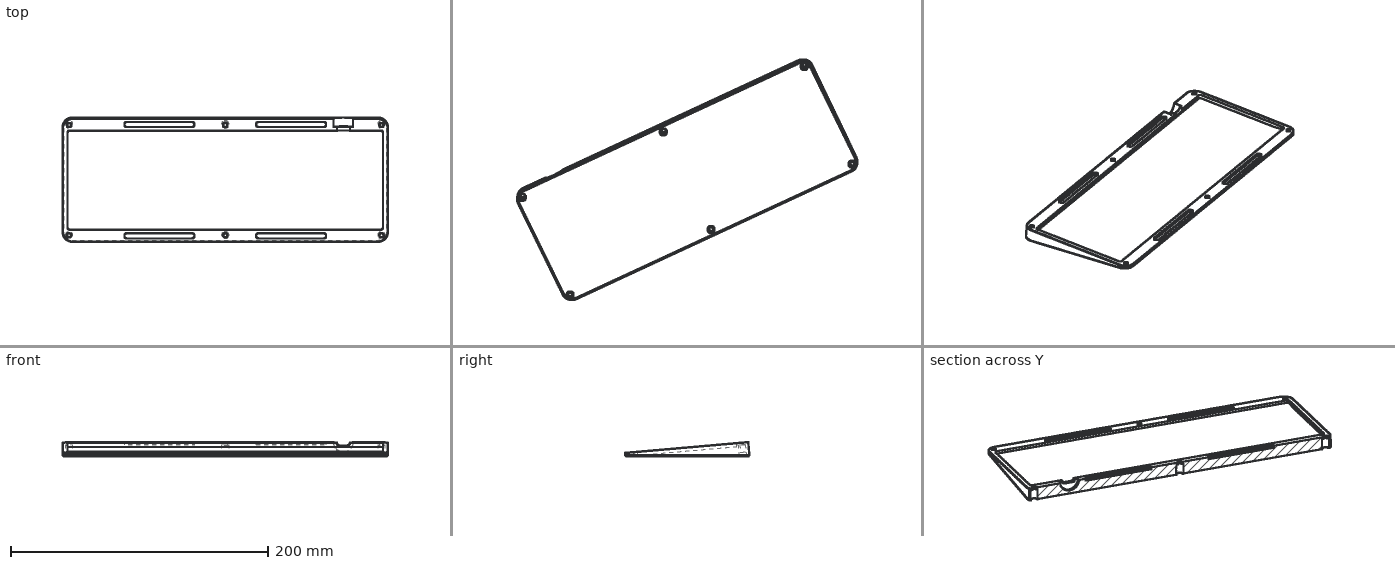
import cadquery as cq
import math

pocket_width = 244.89
pocket_length = 77.2
side_rim = 4.0
end_rim = 9.5
pocket_depth = 2.93
floor_thickness = 1.5
pocket_corner_radius = 1.5

overall_width = pocket_width + 2 * side_rim
top_length = pocket_length + 2 * end_rim
overall_height = 11.1
slope_angle = 5.0
corner_radius = 8.0
bottom_chamfer = 1.0
top_chamfer = 0.25

screw_inset = 5.1
screw_diameter = 3.25
screw_head_diameter = 5.5
screw_seat_thickness = 2.0

slot_length = 54.5
slot_width = 4.0
slot_depth = 1.7
slot_offset = 51.2
slot_inset = 4.7

notch_x = 91.75
plug_radius = 7.6
plug_length = 6.6
socket_width = 10.1
socket_radius = 1.9
socket_depth = 2.0

slope = math.radians(slope_angle)
mid_height = overall_height - (top_length / 2 - top_chamfer) * math.sin(slope)
cut_margin = 5.0
through_depth = 2 * overall_height

top_plane = cq.Plane(
    origin=(0, 0, mid_height),
    xDir=(1, 0, 0),
    normal=(0, -math.sin(slope), math.cos(slope)),
)
rear_plane = cq.Plane(
    origin=top_plane.toWorldCoords((0, top_length / 2, 0)),
    xDir=(1, 0, 0),
    normal=top_plane.yDir * -1,
)
square_to_top = cq.selectors.ParallelDirSelector(top_plane.zDir)
up_slope = cq.selectors.ParallelDirSelector(top_plane.yDir)
highest_face = cq.selectors.DirectionMinMaxSelector(top_plane.zDir)
lowest_face = cq.selectors.DirectionMinMaxSelector(top_plane.zDir, False)


def space_above(height):
    """Large block filling everything above a horizontal level."""
    size = 2 * overall_width
    return cq.Workplane("XY", origin=(0, 0, height)).box(size, size, size, centered=(True, True, False))


def make_body():
    """Rounded slab, square to the sloping top, cut off flat at the bottom."""
    slab = (
        cq.Workplane(top_plane)
        .rect(overall_width, top_length)
        .extrude(-through_depth)
        .edges(square_to_top)
        .fillet(corner_radius)
    )
    return slab.intersect(space_above(0)).faces("<Z").edges().chamfer(bottom_chamfer)


def make_pocket():
    """Pocket parallel to the top, with a level floor where the wedge gets thin."""
    sloped = (
        cq.Workplane(top_plane)
        .rect(pocket_width, pocket_length)
        .extrude(-pocket_depth)
        .edges(square_to_top)
        .fillet(pocket_corner_radius)
    )
    return sloped.intersect(space_above(floor_thickness))


def bevel_top_outline(body):
    """Fine bevel around the outline of the sloping top face."""
    return body.faces(highest_face).edges().chamfer(top_chamfer)


def make_screw_holes():
    """Through holes square to the top, widened from below for the screw heads."""
    screw_x = overall_width / 2 - screw_inset
    screw_y = top_length / 2 - screw_inset
    points = [(x, y) for x in (-screw_x, 0, screw_x) for y in (-screw_y, screw_y)]
    shanks = cq.Workplane(top_plane).pushPoints(points).circle(screw_diameter / 2).extrude(-through_depth)
    heads = (
        cq.Workplane(top_plane)
        .workplane(offset=-screw_seat_thickness)
        .pushPoints(points)
        .circle(screw_head_diameter / 2)
        .extrude(-through_depth)
    )
    return shanks.union(heads)


def make_slots():
    """Round-ended slots sunk into the front and rear rims."""
    slot_y = top_length / 2 - slot_inset
    points = [(x, y) for x in (-slot_offset, slot_offset) for y in (-slot_y, slot_y)]
    return cq.Workplane(top_plane).pushPoints(points).slot2D(slot_length, slot_width).extrude(-slot_depth)


def make_plug_clearance():
    """Half-round trough for the cable plug, open at the rear and the top."""
    return (
        cq.Workplane(rear_plane)
        .workplane(offset=-cut_margin)
        .center(notch_x, 0)
        .circle(plug_radius)
        .extrude(plug_length + cut_margin)
    )


def make_socket_opening():
    """Narrower channel with rounded lower corners, from the trough into the pocket."""
    height = socket_depth + cut_margin
    channel = (
        cq.Workplane(rear_plane)
        .center(notch_x, cut_margin - height / 2)
        .rect(socket_width, height)
        .extrude(end_rim)
    )
    return channel.faces(lowest_face).edges(up_slope).fillet(socket_radius)


result = (
    bevel_top_outline(make_body())
    .cut(make_pocket())
    .cut(make_screw_holes())
    .cut(make_slots())
    .cut(make_plug_clearance())
    .cut(make_socket_opening())
)